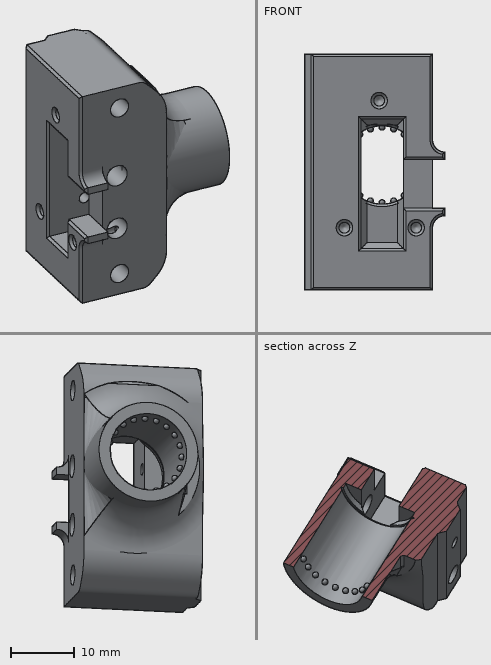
import cadquery as cq
import math


tube_radius = 8.0
tube_end_y = 26.6
bore_radius = 6.18
flare_radius = 6.0
back_y = 15.4
flare_start_y = back_y + flare_radius
run_out_inset = 0.03
flare_foot_radius = tube_radius + flare_radius

body_left_x = -11.2
body_right_x = tube_radius
body_top_z = 17.54
body_height = 37.3
body_bottom_z = body_top_z - body_height
top_slope_y = 11.22
bottom_slope_y = 11.97
back_top_z = body_top_z - (back_y - top_slope_y)
back_bottom_z = body_bottom_z + (back_y - bottom_slope_y)
slope_outer_fillet = 2.0
slope_back_fillet = 6.0
front_chamfer = 0.4

rail_height = 1.04
rail_start_y = 3.6
rail_end_y = 10.4

pocket_left_x = -3.3
pocket_right_x = 3.37
pocket_top_z = 7.25
pocket_bottom_z = -13.2
pocket_straight_depth = 8.5
pocket_taper = 0.95
taper_angle = 45.0
pocket_depth = pocket_straight_depth + pocket_taper
bore_mouth_chamfer = 0.4

notch_top_z = 0.85
notch_bottom_z = -6.84
notch_depth = 3.95
lug_reach = 1.94
lug_tip_thickness = 1.2

front_hole_centres = [(-0.45, 10.17), (-5.95, -9.92), (5.4, -9.92)]
front_hole_diameter = 1.7
front_hole_mouth_diameter = 2.6
front_hole_depth = 8.0
drill_tip_angle = 118.0

body_mid_z = (body_top_z + body_bottom_z) / 2
mount_hole_diameter = 3.2
mount_hole_y = 7.02
mount_hole_offset = 14.95
pilot_hole_diameter = 1.82
access_hole_diameter = 3.6
pilot_hole_y = 6.57
pilot_hole_heights = (1.7, -7.79)

ball_count = 20
ball_radius = 0.48
ball_ring_radius = 5.97
ball_ring_y = 24.0

relief_floor_y = 16.55
relief_flat_half_width = 4.6
relief_half_width = 8.5
relief_edge_x = -6.8
relief_corner = 0.4
relief_corner_half_length = 4.2

overlap = 1.0


def box(x_range, y_range, z_range):
    size = [high - low for low, high in (x_range, y_range, z_range)]
    corner = (x_range[0], y_range[0], z_range[0])
    return cq.Workplane("XY").box(*size, centered=False).translate(corner)


def along_y(sketch, start_y, end_y):
    """Move an XZ sketch to start_y and extrude it to end_y."""
    return sketch.extrude(start_y - end_y).translate((0, start_y, 0))


def cylinder_y(radius, start_y, end_y):
    return along_y(cq.Workplane("XZ").circle(radius), start_y, end_y)


def cylinder_x(diameter, y, z, start_x, end_x):
    cylinder = cq.Workplane("YZ").center(y, z).circle(diameter / 2).extrude(end_x - start_x)
    return cylinder.translate((start_x, 0, 0))


def make_block():
    """Block whose top and bottom fall away at 45 degrees behind the rail."""
    block = (
        cq.Workplane("YZ")
        .moveTo(0, body_bottom_z)
        .lineTo(bottom_slope_y, body_bottom_z)
        .lineTo(back_y, back_bottom_z)
        .lineTo(back_y, back_top_z)
        .lineTo(top_slope_y, body_top_z)
        .lineTo(0, body_top_z)
        .close()
        .extrude(body_right_x - body_left_x)
        .translate((body_left_x, 0, 0))
    )
    slope_edges = block.edges("|X").filter(lambda edge: rail_start_y < edge.Center().y < back_y - overlap)
    block = slope_edges.fillet(slope_outer_fillet)
    return block.edges("|X").edges(">Y").fillet(slope_back_fillet)


def make_rail():
    outer_x = body_left_x - rail_height
    sketch = cq.Workplane("XY").polyline([
        (body_left_x + overlap, rail_start_y),
        (body_left_x, rail_start_y),
        (outer_x, rail_start_y + rail_height),
        (outer_x, rail_end_y - rail_height),
        (body_left_x, rail_end_y),
        (body_left_x + overlap, rail_end_y),
    ]).close()
    return sketch.extrude(body_height).translate((0, 0, body_bottom_z))


def make_lug(edge_z, direction):
    """Lug at a notch edge, thickening into the side wall through a round corner."""
    tip_x = body_right_x + lug_reach
    tip_z = edge_z + direction * lug_tip_thickness
    root_z = tip_z + direction * lug_reach
    bend = lug_reach * (1 - math.sqrt(0.5))
    sketch = (
        cq.Workplane("XZ")
        .moveTo(body_right_x - overlap, edge_z)
        .lineTo(tip_x, edge_z)
        .lineTo(tip_x, tip_z)
        .threePointArc((body_right_x + bend, tip_z + direction * bend), (body_right_x, root_z))
        .lineTo(body_right_x - overlap, root_z)
        .close()
    )
    return along_y(sketch, 0, notch_depth)


def make_flare_clip():
    """Limits of the flare: the side faces and the sloping top of the block."""
    outline = cq.Workplane("YZ").polyline([
        (0, body_bottom_z),
        (tube_end_y, body_bottom_z),
        (tube_end_y, back_top_z),
        (back_y, back_top_z),
        (top_slope_y, body_top_z),
        (0, body_top_z),
    ]).close()
    return outline.extrude(body_right_x - body_left_x).translate((body_left_x, 0, 0))


def make_flare():
    """Concave flare round the tube, ending where its foot meets the right side."""
    base_y = top_slope_y
    end_angle = math.degrees(math.acos(tube_radius / flare_foot_radius))
    bend = flare_radius * math.sqrt(0.5)
    arc_middle = (flare_foot_radius - bend, flare_start_y - bend)
    profile = (
        cq.Workplane("XY")
        .moveTo(0, base_y)
        .lineTo(flare_foot_radius, base_y)
        .lineTo(flare_foot_radius, back_y)
        .threePointArc(arc_middle, (tube_radius, flare_start_y))
        .lineTo(0, flare_start_y)
        .close()
    )
    flare = profile.revolve(360 - 2 * end_angle, (0, 0), (0, 1))
    flare = flare.rotate((0, 0, 0), (0, 1, 0), end_angle)
    return flare.intersect(make_flare_clip())


def make_flare_run_out(side):
    """Web on the tube beside the flare end; the outer side of each section is tangent to the tube."""
    section_count = 8
    end_angle = math.acos(tube_radius / flare_foot_radius)
    wires = []
    for i in range(section_count):
        arc_angle = math.radians(90) * (i + 1) / section_count
        y = flare_start_y - flare_radius * math.sin(arc_angle)
        radius = flare_foot_radius - flare_radius * math.cos(arc_angle)
        tangent_angle = end_angle - math.acos(tube_radius / radius)
        corners = [cq.Vector(0, y, 0)]
        for corner_radius, angle in [
            (radius - run_out_inset, end_angle + run_out_inset / radius),
            (tube_radius - run_out_inset, tangent_angle),
        ]:
            x = corner_radius * math.cos(angle)
            z = side * corner_radius * math.sin(angle)
            corners.append(cq.Vector(x, y, z))
        wires.append(cq.Wire.makePolygon(corners, close=True))
    return cq.Workplane(cq.Solid.makeLoft(wires, True))


def make_flare_relief():
    """Pyramid cutter that flattens the left of the flare; its apex is on the tube."""
    apex = cq.Vector(-tube_radius, flare_start_y, 0)
    outer_x = body_left_x - overlap
    outline = [
        (-tube_radius, relief_flat_half_width),
        (relief_edge_x, relief_half_width),
        (outer_x, relief_half_width),
        (outer_x, -relief_half_width),
        (relief_edge_x, -relief_half_width),
        (-tube_radius, -relief_flat_half_width),
    ]
    base = [cq.Vector(x, relief_floor_y, z) for x, z in outline]
    faces = [cq.Face.makeFromWires(cq.Wire.makePolygon(base, close=True))]
    for i, corner in enumerate(base):
        side = [base[i - 1], corner, apex]
        faces.append(cq.Face.makeFromWires(cq.Wire.makePolygon(side, close=True)))
    return cq.Workplane(cq.Solid.makeSolid(cq.Shell.makeShell(faces)))


def make_relief_corner():
    """Small sloping fill between the flat on the flare and the floor below it."""
    flat_x = -tube_radius
    outline = cq.Workplane("XY").polyline([
        (flat_x + overlap, relief_floor_y - overlap),
        (flat_x - relief_corner, relief_floor_y - overlap),
        (flat_x - relief_corner, relief_floor_y),
        (flat_x, relief_floor_y + relief_corner),
        (flat_x + overlap, relief_floor_y + relief_corner),
    ]).close()
    fill = outline.extrude(2 * relief_corner_half_length)
    return fill.translate((0, 0, -relief_corner_half_length))


def make_neck():
    neck = make_flare().cut(make_flare_relief()).union(make_relief_corner())
    neck = neck.union(cylinder_y(tube_radius, back_y - overlap, tube_end_y))
    for side in (1, -1):
        neck = neck.union(make_flare_run_out(side))
    return neck


def make_pocket_outline():
    width = pocket_right_x - pocket_left_x
    height = pocket_top_z - pocket_bottom_z
    centre_x = (pocket_left_x + pocket_right_x) / 2
    centre_z = (pocket_top_z + pocket_bottom_z) / 2
    return cq.Workplane("XZ").center(centre_x, centre_z).rect(width, height)


def make_pocket_taper():
    taper = make_pocket_outline().extrude(-pocket_taper, taper=taper_angle)
    return taper.translate((0, pocket_straight_depth, 0))


def make_bore():
    """Tube bore with a chamfered mouth at the pocket floor."""
    mouth = cq.Workplane("XY").polyline([
        (0, pocket_depth),
        (bore_radius + bore_mouth_chamfer, pocket_depth),
        (bore_radius, pocket_depth + bore_mouth_chamfer),
        (0, pocket_depth + bore_mouth_chamfer),
    ]).close().revolve(360, (0, 0), (0, 1))
    return cylinder_y(bore_radius, pocket_straight_depth, tube_end_y).union(mouth)


def make_front_hole(x, z):
    radius = front_hole_diameter / 2
    mouth_radius = front_hole_mouth_diameter / 2
    tip_depth = radius / math.tan(math.radians(drill_tip_angle / 2))
    profile = cq.Workplane("XY").polyline([
        (0, 0),
        (mouth_radius, 0),
        (radius, mouth_radius - radius),
        (radius, front_hole_depth),
        (0, front_hole_depth + tip_depth),
    ]).close()
    return profile.revolve(360, (0, 0), (0, 1)).translate((x, 0, z))


def cut_cross_holes(part):
    left = body_left_x - rail_height - overlap
    right = body_right_x + overlap
    for side in (1, -1):
        z = body_mid_z + side * mount_hole_offset
        part = part.cut(cylinder_x(mount_hole_diameter, mount_hole_y, z, left, right))
    for z in pilot_hole_heights:
        part = part.cut(cylinder_x(pilot_hole_diameter, pilot_hole_y, z, left, 0))
        part = part.cut(cylinder_x(access_hole_diameter, pilot_hole_y, z, 0, right))
    return part


def add_grip_balls(part):
    ball = cq.Workplane("XY").sphere(ball_radius).translate((0, ball_ring_y, ball_ring_radius))
    pitch_angle = 360 / ball_count
    for i in range(ball_count):
        part = part.union(ball.rotate((0, 0, 0), (0, 1, 0), i * pitch_angle))
    return part


body = make_block()
body = body.union(make_lug(notch_top_z, 1)).union(make_lug(notch_bottom_z, -1))
body = body.cut(along_y(make_pocket_outline(), 0, pocket_straight_depth))
body = body.cut(box((0, body_right_x + overlap), (0, notch_depth), (notch_bottom_z, notch_top_z)))
body = body.faces("<Y").edges().chamfer(front_chamfer)
body = body.union(make_rail())

body = body.union(make_neck())

body = body.cut(make_pocket_taper()).cut(make_bore())
for hole_x, hole_z in front_hole_centres:
    body = body.cut(make_front_hole(hole_x, hole_z))
body = cut_cross_holes(body)

result = add_grip_balls(body)